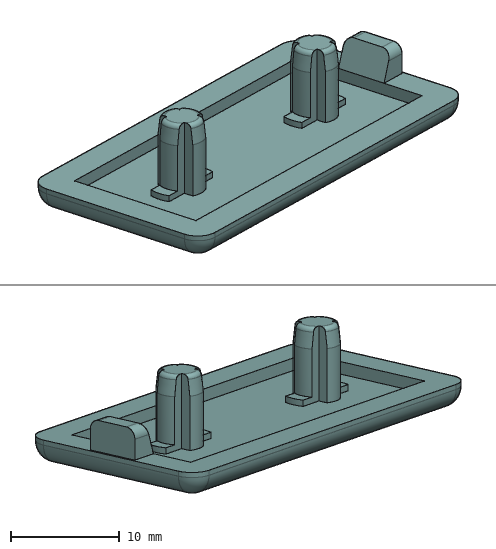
import cadquery as cq

plate_width = 20.0
plate_length = 40.0
plate_height = 2.5
corner_radius = 2.0
straight_rim_height = 0.5
edge_radius = plate_height - straight_rim_height

rim_width = 2.95
pocket_depth = 1.2
pocket_width = plate_width - 2 * rim_width
pocket_length = plate_length - 2 * rim_width
floor_z = plate_height - pocket_depth

post_rise = 6.0
post_spacing = 20.0
post_radius = 2.25
post_tip_radius = 2.0
taper_height = 2.0
tip_round_radius = 0.5
x_arm_thickness = 1.95
y_arm_thickness = 2.1
post_height = pocket_depth + post_rise

wing_radius = 3.45
wing_height = 0.6

tab_width = 5.3
tab_rise = 3.0
tab_setback = 0.25
tab_top_depth = 1.7
tab_corner_radius = 1.0
tab_base_depth = rim_width - tab_setback


def make_plate():
    """Plate with rounded corners and underside, hollowed by the pocket."""
    outline = cq.Sketch().rect(plate_width, plate_length).vertices().fillet(corner_radius)
    plate = cq.Workplane("XY").placeSketch(outline).extrude(plate_height)
    plate = plate.faces("<Z").edges().fillet(edge_radius)
    pocket = cq.Workplane("XY", origin=(0, 0, floor_z)).rect(pocket_width, pocket_length).extrude(pocket_depth)
    return plate.cut(pocket)


def make_post():
    """Tapered, round-tipped post trimmed to a cross, with a wing on either side in Y."""
    taper_start = post_height - taper_height
    body = (
        cq.Workplane("XZ")
        .moveTo(0, 0)
        .lineTo(post_radius, 0)
        .lineTo(post_radius, taper_start)
        .lineTo(post_tip_radius, post_height)
        .lineTo(0, post_height)
        .close()
        .revolve(360, (0, 0), (0, 1))
        .faces(">Z")
        .edges()
        .fillet(tip_round_radius)
    )
    x_arm = cq.Workplane("XY").rect(2 * post_radius, x_arm_thickness).extrude(post_height)
    y_arm = cq.Workplane("XY").rect(y_arm_thickness, 2 * post_radius).extrude(post_height)
    wing_bar = cq.Workplane("XY").rect(y_arm_thickness, 2 * wing_radius).extrude(wing_height)
    wings = cq.Workplane("XY").circle(wing_radius).extrude(wing_height).intersect(wing_bar)
    return body.intersect(x_arm.union(y_arm)).union(wings)


def make_tab():
    """Wedge standing on the rim, with its two upper side edges rounded."""
    back_y = plate_length / 2 - tab_setback
    block = (
        cq.Workplane("XZ", origin=(0, back_y, plate_height))
        .center(0, tab_rise / 2)
        .rect(tab_width, tab_rise)
        .extrude(tab_base_depth)
        .edges("|Y and >Z")
        .fillet(tab_corner_radius)
    )
    wedge = (
        cq.Workplane("YZ", origin=(0, back_y, plate_height))
        .moveTo(0, 0)
        .lineTo(0, tab_rise)
        .lineTo(-tab_top_depth, tab_rise)
        .lineTo(-tab_base_depth, 0)
        .close()
        .extrude(tab_width / 2, both=True)
    )
    return block.intersect(wedge)


result = make_plate().union(make_tab())
for post_y in (-post_spacing / 2, post_spacing / 2):
    result = result.union(make_post().translate((0, post_y, floor_z)))